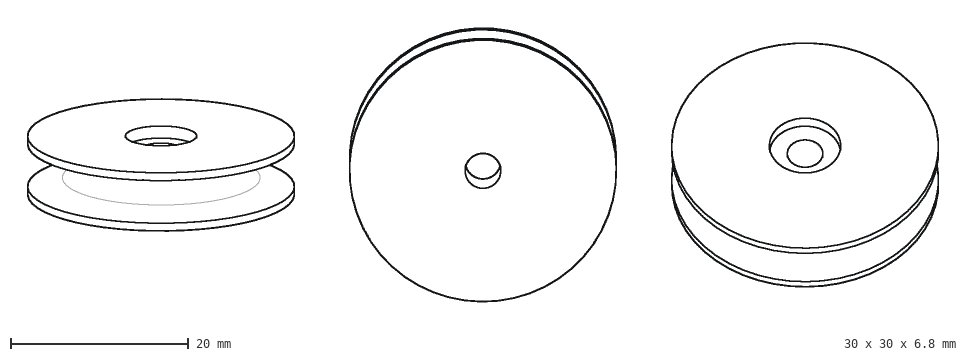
import cadquery as cq
import math

outer_diameter = 30.0
width = 6.8
bore_diameter = 4.0
recess_diameter = 8.0
recess_depth = 1.4
root_diameter = 20.0
root_fillet_radius = 1.5
flank_angle = math.radians(15)

outer_radius = outer_diameter / 2
root_radius = root_diameter / 2
half_width = width / 2
arc_center_radius = root_radius + root_fillet_radius
tangent_radius = arc_center_radius - root_fillet_radius * math.sin(flank_angle)
tangent_height = root_fillet_radius * math.cos(flank_angle)
groove_half_opening = tangent_height + (outer_radius - tangent_radius) * math.tan(flank_angle)


def make_wheel():
    """Solid pulley wheel, revolved about Z and centred on the XY plane."""
    return (
        cq.Workplane("XZ")
        .moveTo(0, -half_width)
        .lineTo(outer_radius, -half_width)
        .lineTo(outer_radius, -groove_half_opening)
        .lineTo(tangent_radius, -tangent_height)
        .threePointArc((root_radius, 0), (tangent_radius, tangent_height))
        .lineTo(outer_radius, groove_half_opening)
        .lineTo(outer_radius, half_width)
        .lineTo(0, half_width)
        .close()
        .revolve(360, (0, 0, 0), (0, 1, 0))
    )


def cut_stepped_bore(wheel):
    """Through bore with a round recess in the top face."""
    return wheel.faces(">Z").workplane().cboreHole(bore_diameter, recess_diameter, recess_depth)


result = cut_stepped_bore(make_wheel())